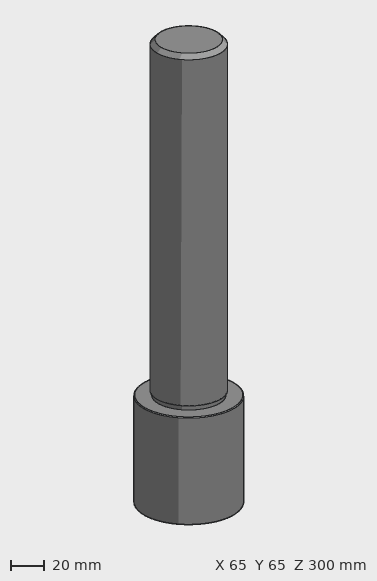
import cadquery as cq

total_length = 300.0
head_diameter = 65.0
head_length = 70.0
shank_diameter = 46.0

head_chamfer = 0.5
tip_chamfer = 3.0
neck_length = 3.0
neck_depth = 1.0

head_radius = head_diameter / 2
shank_radius = shank_diameter / 2
neck_radius = shank_radius - neck_depth
neck_top = head_length + neck_length

half_section = (
    cq.Workplane("XZ")
    .moveTo(0, 0)
    .lineTo(head_radius - head_chamfer, 0)
    .lineTo(head_radius, head_chamfer)
    .lineTo(head_radius, head_length - head_chamfer)
    .lineTo(head_radius - head_chamfer, head_length)
    .lineTo(neck_radius, head_length)
    .lineTo(neck_radius, neck_top)
    .lineTo(shank_radius, neck_top)
    .lineTo(shank_radius, total_length - tip_chamfer)
    .lineTo(shank_radius - tip_chamfer, total_length)
    .lineTo(0, total_length)
    .close()
)

result = half_section.revolve(360, (0, 0, 0), (0, 1, 0))